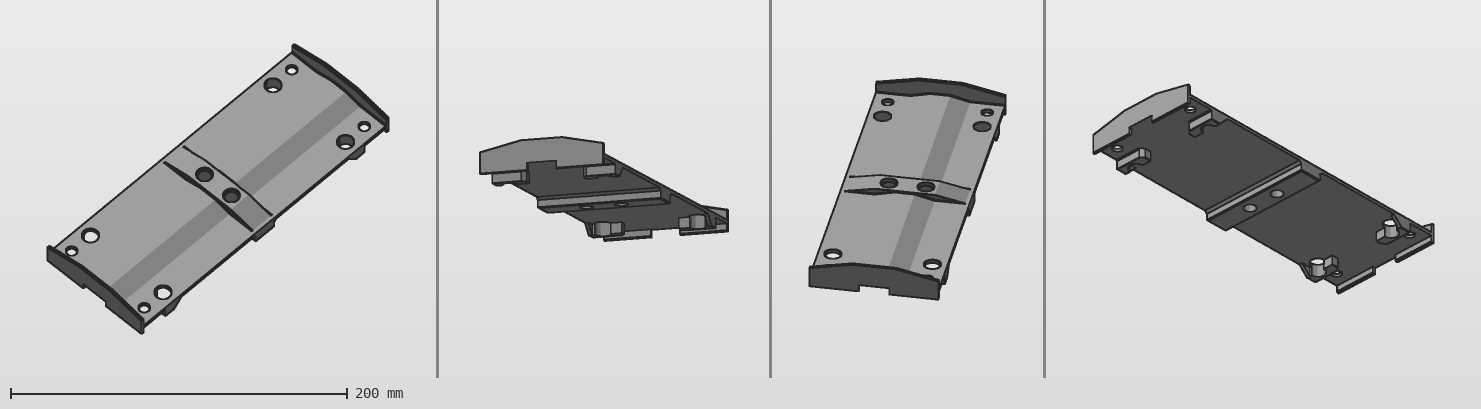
import cadquery as cq
LENGTH = 210.5
WIDTH = 78.0
HEIGHT = 20.6

DECK_BOTTOM = 6.5
DECK_TOP = 8.8
RIDGE_TOP = 11.8
RIDGE_HALF_BASE = 18.0
RIDGE_HALF_CROWN = RIDGE_HALF_BASE / 3

ROOT_BEVEL = 0.6

EDGE_BREAK = 0.32

WALL_THICKNESS = 2.0
WALL_BOTTOM = 1.9
WALL_SHOULDER = 15.1
WALL_HALF_CROWN = 13.0
WALL_INNER_CHAMFER = 0.6
NOTCH_WIDTH = 18.5

FOOT_OUTER_Y = 84.8
FOOT_INNER_Y = 77.6
FOOT_INNER_X = 18.0
FOOT_CORNER_CHAMFER = 2.5
GUSSET_THICKNESS = DECK_TOP - DECK_BOTTOM

BAR_HALF_DEPTH = 8.0
PAD_TOP = 12.6
PAD_HALF_CROWN = RIDGE_HALF_BASE
PAD_HALF_WIDTH = 36.5
BLOCK_ROOT_BEVEL = 1.7
BLOCK_EDGE_CHAMFER = 0.6

SIDE_HOLE_X = 30.0
SMALL_HOLE_Y = 93.6
SMALL_HOLE_DIAMETER = 6.5
LARGE_HOLE_Y = FOOT_INNER_Y
LARGE_HOLE_DIAMETER = 9.9
PAD_HOLE_X = 11.2
PAD_HOLE_DIAMETER = 8.0
PAD_COUNTERBORE_DIAMETER = 9.7
PAD_COUNTERBORE_DEPTH = 2.0


def mirrored(right_side):
    """Complete a symmetric outline from its points on the +X (or +Y) side."""
    left_side = [(-across, z) for across, z in reversed(right_side)]
    return right_side + left_side


def prism_along_y(outline, y_start, y_end):
    """Extrude an (x, z) outline from y_start up to y_end."""
    sketch = cq.Workplane("XZ", origin=(0, y_start, 0)).polyline(outline).close()
    return sketch.extrude(y_start - y_end)


def prism_along_x(outline, x_start, x_end):
    """Extrude a (y, z) outline from x_start up to x_end."""
    sketch = cq.Workplane("YZ", origin=(x_start, 0, 0)).polyline(outline).close()
    return sketch.extrude(x_end - x_start)


def deck_outline(rise=0.0):
    """Deck section with its upper surface lifted by rise."""
    return mirrored([
        (WIDTH / 2, DECK_BOTTOM),
        (WIDTH / 2, DECK_TOP + rise),
        (RIDGE_HALF_BASE, DECK_TOP + rise),
        (RIDGE_HALF_CROWN, RIDGE_TOP + rise),
    ])


def root_bevel(y_high, y_low):
    """Bevel that follows the deck surface, sloping down to it from y_high to y_low."""
    section = cq.Workplane("XZ", origin=(0, y_high, 0)).polyline(deck_outline(ROOT_BEVEL)).close()
    section = section.workplane(offset=y_high - y_low).polyline(deck_outline()).close()
    return section.loft(ruled=True)


def make_end_wall():
    """Notched wall at the +Y end with chamfered edges."""
    inner_y = LENGTH / 2 - WALL_THICKNESS
    outline = mirrored([
        (WIDTH / 2, WALL_BOTTOM),
        (WIDTH / 2, WALL_SHOULDER),
        (WALL_HALF_CROWN, HEIGHT),
    ])
    wall = prism_along_y(outline, inner_y, LENGTH / 2)
    wall = wall.faces("<Y").edges("not |Z").chamfer(WALL_INNER_CHAMFER)
    wall = wall.faces(">Y").edges("not |Z").chamfer(EDGE_BREAK)
    notch = cq.Workplane("XY").rect(NOTCH_WIDTH, 2 * LENGTH).extrude(DECK_BOTTOM)
    return wall.cut(notch).union(root_bevel(inner_y, inner_y - ROOT_BEVEL))


def make_foot():
    """Foot in the +X +Y quarter, braced by a 45 degree gusset at the side of the deck."""
    side_x = WIDTH / 2
    corner_x = FOOT_INNER_X + FOOT_CORNER_CHAMFER
    plan = [
        (side_x, FOOT_INNER_Y),
        (side_x, FOOT_OUTER_Y),
        (corner_x, FOOT_OUTER_Y),
        (FOOT_INNER_X, FOOT_OUTER_Y - FOOT_CORNER_CHAMFER),
        (FOOT_INNER_X, FOOT_INNER_Y),
    ]
    foot = cq.Workplane("XY").polyline(plan).close().extrude(DECK_BOTTOM)
    foot = foot.faces("<Z").edges("not <Y").chamfer(EDGE_BREAK)
    bevel = prism_along_x([
        (FOOT_OUTER_Y, DECK_BOTTOM),
        (FOOT_OUTER_Y, DECK_BOTTOM - ROOT_BEVEL),
        (FOOT_OUTER_Y + ROOT_BEVEL, DECK_BOTTOM),
    ], corner_x, side_x)
    gusset = prism_along_x([
        (FOOT_INNER_Y, DECK_BOTTOM),
        (FOOT_INNER_Y, 0),
        (FOOT_INNER_Y - DECK_BOTTOM, DECK_BOTTOM),
    ], side_x - GUSSET_THICKNESS, side_x)
    return foot.union(bevel).union(gusset)


def make_pad():
    """Pad across the ridge, tapering down to the deck margins on both sides."""
    outline = mirrored([
        (PAD_HALF_WIDTH, DECK_BOTTOM),
        (PAD_HALF_WIDTH, DECK_TOP),
        (PAD_HALF_CROWN, PAD_TOP),
    ])
    half_foot = BAR_HALF_DEPTH + ROOT_BEVEL
    pad = prism_along_y(outline, -BAR_HALF_DEPTH, BAR_HALF_DEPTH)
    pad = pad.faces("<Y or >Y").edges("not (|Z or <Z)").chamfer(EDGE_BREAK)
    bevels = root_bevel(BAR_HALF_DEPTH, half_foot).union(root_bevel(-BAR_HALF_DEPTH, -half_foot))
    return pad.union(bevels.intersect(prism_along_y(outline, -half_foot, half_foot)))


def make_block():
    """Full-width block under the middle of the deck."""
    outline = mirrored([
        (BAR_HALF_DEPTH, 0),
        (BAR_HALF_DEPTH, DECK_BOTTOM - BLOCK_ROOT_BEVEL),
        (BAR_HALF_DEPTH + BLOCK_ROOT_BEVEL, DECK_BOTTOM),
    ])
    block = prism_along_x(outline, -WIDTH / 2, WIDTH / 2)
    return block.faces("<Z").edges().chamfer(BLOCK_EDGE_CHAMFER)


def drill(body, centres, diameter, bottom=0.0):
    """Cut vertical round holes from bottom up through the top of the part."""
    cutter = cq.Workplane("XY", origin=(0, 0, bottom)).pushPoints(centres)
    return body.cut(cutter.circle(diameter / 2).extrude(HEIGHT))


def chamfer_rims(body, centres, diameter, top):
    """Chamfer the upper rims of round holes that open at height top."""
    cone = cq.Solid.makeCone(diameter / 2, diameter / 2 + EDGE_BREAK, EDGE_BREAK)
    for x, y in centres:
        body = body.cut(cone.translate(cq.Vector(x, y, top - EDGE_BREAK)))
    return body


def side_hole_centres(y):
    """Four hole centres, one in each quarter of the deck."""
    return [(sx * SIDE_HOLE_X, sy * y) for sx in (-1, 1) for sy in (-1, 1)]


result = prism_along_y(deck_outline(), -LENGTH / 2, LENGTH / 2)
wall = make_end_wall()
result = result.union(wall).union(wall.mirror("XZ"))
foot = make_foot()
feet = foot.union(foot.mirror("YZ"))
result = result.union(feet).union(feet.mirror("XZ"))
result = result.union(make_pad()).union(make_block())

for hole_y, diameter in ((SMALL_HOLE_Y, SMALL_HOLE_DIAMETER), (LARGE_HOLE_Y, LARGE_HOLE_DIAMETER)):
    centres = side_hole_centres(hole_y)
    result = drill(result, centres, diameter)
    result = chamfer_rims(result, centres, diameter, DECK_TOP)

pad_hole_centres = [(-PAD_HOLE_X, 0), (PAD_HOLE_X, 0)]
result = drill(result, pad_hole_centres, PAD_HOLE_DIAMETER)
result = drill(result, pad_hole_centres, PAD_COUNTERBORE_DIAMETER, PAD_TOP - PAD_COUNTERBORE_DEPTH)
result = chamfer_rims(result, pad_hole_centres, PAD_COUNTERBORE_DIAMETER, PAD_TOP)